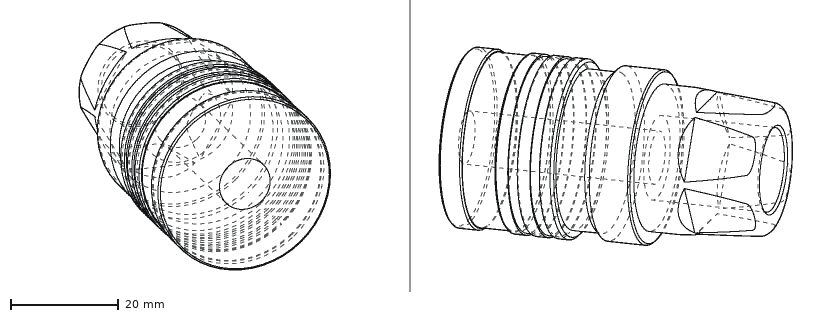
import cadquery as cq

length = 60.2
collar_diameter = 34.0
collar_radius = collar_diameter / 2

nose_tip_radius = 12.45
nose_fillet = 1.45
nose_end_x = 17.05
neck_radius = 13.85
flat_count = 6
flat_spacing = 360 / flat_count
across_flats = 24.0
flat_end_x = 13.05

sleeve_start_x = 22.9
sleeve_radius = 16.5
sleeve_chamfer = 0.35
sleeve_end_x = 32.1
sleeve_back_chamfer = 1.3

waist_radius = sleeve_radius - sleeve_back_chamfer

collar_start_x = 37.75
collar_end_x = 49.25
collar_front_chamfer = 0.55
groove_radius = 16.6
groove_width = 1.85
groove_pitch = 4.35
groove_count = 2
first_groove_x = 40.4
cut_clearance = 0.6

rim_start_x = 55.7
edge_chamfer = 0.35

bore_radius = 7.95
bore_chamfer = 0.5
bore_depth = sleeve_start_x
through_radius = 5.0


def make_body():
    """Solid of revolution about X carrying all outer steps."""
    profile = [
        (0, 0),
        (0, nose_tip_radius),
        (nose_end_x, neck_radius),
        (sleeve_start_x, neck_radius),
        (sleeve_start_x, sleeve_radius - sleeve_chamfer),
        (sleeve_start_x + sleeve_chamfer, sleeve_radius),
        (sleeve_end_x - sleeve_back_chamfer, sleeve_radius),
        (sleeve_end_x, waist_radius),
        (collar_start_x, waist_radius),
        (collar_start_x, collar_radius - collar_front_chamfer),
        (collar_start_x + collar_front_chamfer, collar_radius),
        (collar_end_x - edge_chamfer, collar_radius),
        (collar_end_x, collar_radius - edge_chamfer),
        (collar_end_x, sleeve_radius),
        (rim_start_x, sleeve_radius),
        (rim_start_x, collar_radius - edge_chamfer),
        (rim_start_x + edge_chamfer, collar_radius),
        (length - edge_chamfer, collar_radius),
        (length, collar_radius - edge_chamfer),
        (length, 0),
    ]
    body = cq.Workplane("XY").polyline(profile).close().revolve(360, (0, 0, 0), (1, 0, 0))
    return body.faces("<X").edges().fillet(nose_fillet)


def make_groove(start_x):
    """Ring that cuts one shallow groove into the collar."""
    return (
        cq.Workplane("YZ", origin=(start_x, 0, 0))
        .circle(collar_radius + cut_clearance)
        .circle(groove_radius)
        .extrude(groove_width)
    )


def make_flat_cutter():
    """Prism above the top flat, with a 45 degree run-out at its rear end."""
    flat_height = across_flats / 2
    cut_height = collar_radius - flat_height
    return (
        cq.Workplane("XZ")
        .moveTo(0, flat_height)
        .lineTo(flat_end_x, flat_height)
        .line(cut_height, cut_height)
        .lineTo(0, collar_radius)
        .close()
        .extrude(collar_radius, both=True)
    )


def make_bore():
    """Chamfered front bore followed by a smaller hole through the part."""
    profile = [
        (0, 0),
        (0, bore_radius + bore_chamfer),
        (bore_chamfer, bore_radius),
        (bore_depth, bore_radius),
        (bore_depth, through_radius),
        (length, through_radius),
        (length, 0),
    ]
    return cq.Workplane("XY").polyline(profile).close().revolve(360, (0, 0, 0), (1, 0, 0))


result = make_body()
for index in range(groove_count):
    result = result.cut(make_groove(first_groove_x + index * groove_pitch))

flat_cutter = make_flat_cutter()
for index in range(flat_count):
    result = result.cut(flat_cutter.rotate((0, 0, 0), (1, 0, 0), index * flat_spacing))

result = result.cut(make_bore())